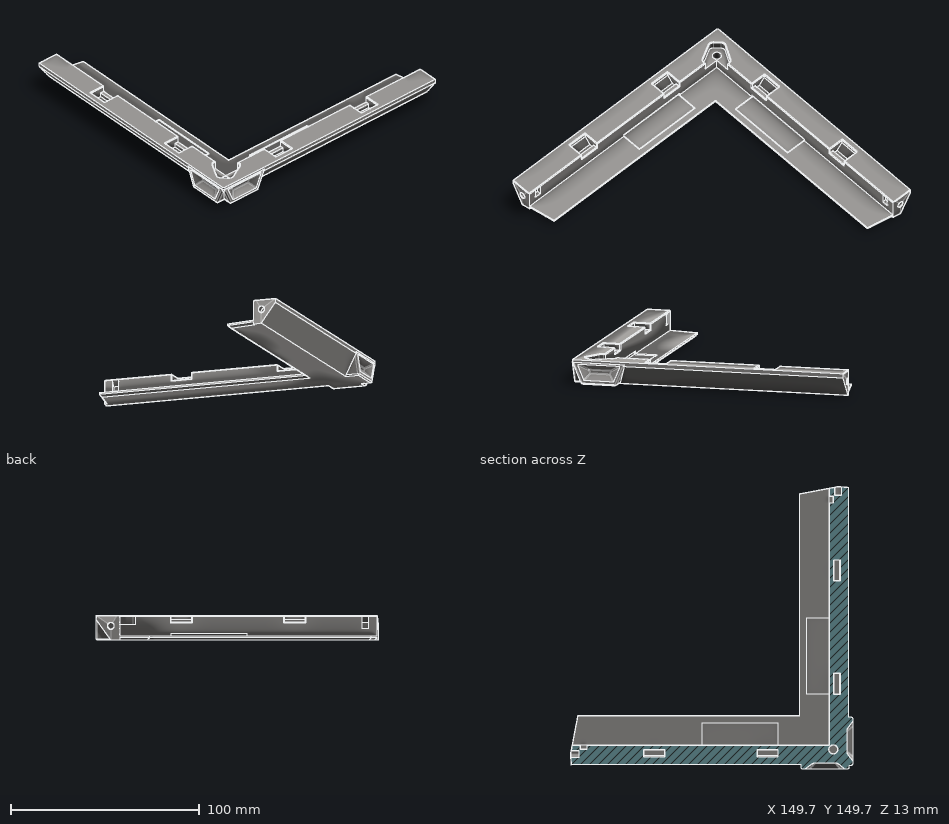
import cadquery as cq
SIZE = 149.7
HEIGHT = 13.0
PAD_PROUD = 0.1

WALL_INNER = 12.7
WALL_BAND_Z = 10.8
WALL_SLANT = 7.8
ARM_WIDTH = 28.5
PLATE_TOP = 2.2
PLATE_BEVEL = 1.3
RIM_CHAMFER = 0.5
FLARE_ANGLE = 45
CORNER_RADIUS = 0.7

END_HOLE_DIAMETER = 3.5
END_HOLE_DEPTH = 4.5
END_HOLE_Y = 8.0
END_HOLE_Z = 7.6
END_HOLE_CHAMFER = 0.3
END_EDGE_CHAMFER = 0.3
END_TOP_FALL = 0.6
END_OUTER_FALL = 0.6
END_INNER_FALL = 3.9

POCKET_STARTS = (39.0, 99.0)
POCKET_LENGTH = 11.0
POCKET_BACK = 3.5
POCKET_SHOULDER_Y = 3.7
POCKET_SHOULDER_Z = 11.0
POCKET_RAMP_FOOT = 7.2
POCKET_FLOOR_Z = 7.2
POCKET_LIP_Y = 10.2
POCKET_LIP_Z = 9.6

LABEL_START = 69.6
LABEL_LENGTH = 40.3
LABEL_EDGE = 24.5
LABEL_DEPTH = 0.6
LABEL_UNDERCUT = 0.9
LABEL_UNDERCUT_Z = 3.6

NOTCH_START = 5.2
NOTCH_WIDTH = 3.5
NOTCH_BOTTOM = 6.3
NOTCH_KNEE_Z = 9.5
NOTCH_TOP = 12.6
NOTCH_DEPTH = 2.1

PIVOT_INSET = 10.5
PIVOT_DIAMETER = 4.6
PIVOT_FLOOR_Z = 8.2
PIVOT_REACH = 21.0
PIVOT_NECK = 10.3
PIVOT_NOSE_FAR = 9.6
PIVOT_NOSE_NEAR = 4.2
PIVOT_ROUND = 2.4
PIVOT_OVERCUT = 4.5

PAD_LEAN = 0.42
PAD_TOP = 11.7
PAD_LEFT = 120.4
PAD_RIGHT = 149.5
PAD_EDGE = 0.9
PAD_BOTTOM_CHAMFER = 0.7
DISH_TOP = 10.8
DISH_BOTTOM = 2.2
DISH_LEFT = 123.1
DISH_RIGHT = 146.6
DISH_FLOOR_TOP = 7.6
DISH_FLOOR_BOTTOM = 5.5
DISH_FLOOR_LEFT = 128.8
DISH_FLOOR_RIGHT = 141.2
DISH_DEPTH = 3.3
DISH_FILLET = 0.7


def along_x(section, start, length):
    """Prism along X from a list of (Y, Z) points."""
    return cq.Workplane("YZ").workplane(offset=start).polyline(section).close().extrude(length)


def upright(outline, bottom, top):
    """Prism along Z from a list of (X, Y) points."""
    return cq.Workplane("XY").workplane(offset=bottom).polyline(outline).close().extrude(top - bottom)


def across_y(outline, start, length):
    """Prism along Y from a list of (X, Z) points."""
    return cq.Workplane("XZ", origin=(0, start, 0)).polyline(outline).close().extrude(-length)


def mirrored(body):
    """The same body on the other arm, reflected across the corner's mitre plane."""
    return body.mirror(cq.Vector(1, 1, 0), (SIZE, 0, 0))


def both_arms(body):
    return body.union(mirrored(body))


def inner_facet():
    """Sliver removed by the end facet that runs from the end hole to the inner edge of the plate."""
    return [(0, END_HOLE_Y), (0, ARM_WIDTH), (END_INNER_FALL, ARM_WIDTH)]


def wall():
    section = [
        (PAD_PROUD, HEIGHT),
        (PAD_PROUD, WALL_BAND_Z),
        (PAD_PROUD + WALL_SLANT, 0),
        (WALL_INNER, 0),
        (WALL_INNER, HEIGHT - RIM_CHAMFER),
        (WALL_INNER - RIM_CHAMFER, HEIGHT),
    ]
    body = along_x(section, 0, SIZE)
    top_facet = [(0, END_HOLE_Z), (0, HEIGHT), (END_TOP_FALL, HEIGHT)]
    outer_facet = [(0, END_HOLE_Y), (0, 0), (END_OUTER_FALL, 0)]
    body = body.cut(across_y(top_facet, 0, WALL_INNER))
    body = body.cut(upright(outer_facet, 0, HEIGHT))
    body = body.cut(upright(inner_facet(), 0, HEIGHT))
    return body.faces(">Z").edges("<X").chamfer(END_EDGE_CHAMFER)


def plate():
    outline = [
        (0, WALL_INNER),
        (0, ARM_WIDTH),
        (SIZE, ARM_WIDTH),
        (SIZE, WALL_INNER),
    ]
    body = upright(outline, 0, PLATE_TOP).cut(upright(inner_facet(), 0, PLATE_TOP))
    return body.faces("<Z").edges(">Y or <X").chamfer(PLATE_BEVEL)


def arm():
    """One arm, cut off along the mitre so that its mirror image completes the corner."""
    mitre = [(SIZE, 0), (SIZE, SIZE), (0, SIZE)]
    return wall().union(plate()).cut(upright(mitre, 0, HEIGHT))


def flare(cutter, face, outward):
    """Chamfering cutter round the mouth that the given cutter opens on a flat face of the wall."""
    mouth = cutter.faces(face)
    plane = cq.Plane(origin=mouth.val().Center(), normal=outward)
    outline = cq.Workplane(plane).newObject(mouth.wires().vals()).toPending()
    body = outline.extrude(RIM_CHAMFER, taper=-FLARE_ANGLE)
    return body.translate(outward.multiply(-RIM_CHAMFER))


def clip_pocket(start):
    section = [
        (WALL_INNER, HEIGHT),
        (POCKET_BACK, HEIGHT),
        (POCKET_SHOULDER_Y, POCKET_SHOULDER_Z),
        (POCKET_RAMP_FOOT, POCKET_FLOOR_Z),
        (POCKET_LIP_Y, POCKET_FLOOR_Z),
        (POCKET_LIP_Y, POCKET_LIP_Z),
        (WALL_INNER, POCKET_LIP_Z),
    ]
    body = along_x(section, start, POCKET_LENGTH)
    top_flare = flare(body, ">Z", cq.Vector(0, 0, 1))
    inner_flare = flare(body, ">Y", cq.Vector(0, 1, 0))
    return body.union(top_flare).union(inner_flare)


def label_recess():
    floor = PLATE_TOP - LABEL_DEPTH
    section = [
        (LABEL_EDGE, floor),
        (WALL_INNER - LABEL_UNDERCUT, floor),
        (WALL_INNER, LABEL_UNDERCUT_Z),
        (LABEL_EDGE, LABEL_UNDERCUT_Z),
    ]
    return along_x(section, LABEL_START, LABEL_LENGTH)


def finger_notch():
    back = WALL_INNER - NOTCH_DEPTH
    section = [
        (WALL_INNER, NOTCH_TOP),
        (back, NOTCH_KNEE_Z),
        (back, NOTCH_BOTTOM),
        (WALL_INNER, NOTCH_BOTTOM),
    ]
    return along_x(section, NOTCH_START, NOTCH_WIDTH)


def end_hole():
    radius = END_HOLE_DIAMETER / 2
    mouth = cq.Workplane("YZ").center(END_HOLE_Y, END_HOLE_Z)
    rim = mouth.circle(radius + END_HOLE_CHAMFER).workplane(offset=END_HOLE_CHAMFER).circle(radius).loft()
    return mouth.circle(radius).extrude(END_HOLE_DEPTH).union(rim)


def pivot_recess():
    outline = [
        (SIZE - WALL_INNER - PIVOT_OVERCUT, PIVOT_REACH),
        (SIZE - PIVOT_NECK, PIVOT_REACH),
        (SIZE - PIVOT_NOSE_NEAR, PIVOT_NOSE_FAR),
        (SIZE - PIVOT_NOSE_FAR, PIVOT_NOSE_NEAR),
        (SIZE - PIVOT_REACH, PIVOT_NECK),
        (SIZE - PIVOT_REACH, WALL_INNER + PIVOT_OVERCUT),
    ]
    body = upright(outline, PIVOT_FLOOR_Z, HEIGHT).edges("|Z").fillet(PIVOT_ROUND)
    return body.union(flare(body, ">Z", cq.Vector(0, 0, 1)))


def pivot_hole():
    hole = cq.Workplane("XY", origin=(SIZE - PIVOT_INSET, PIVOT_INSET, PLATE_TOP))
    return hole.circle(PIVOT_DIAMETER / 2).extrude(PIVOT_FLOOR_Z - PLATE_TOP)


def trapezoid(left, right, top, bottom):
    """(X, Z) outline whose ends lean towards each other going down."""
    inset = PAD_LEAN * (top - bottom)
    return [(left, top), (right, top), (right - inset, bottom), (left + inset, bottom)]


def pad():
    body = across_y(trapezoid(PAD_LEFT, PAD_RIGHT, PAD_TOP, 0), 0, PAD_PROUD + WALL_SLANT)
    body = body.faces("<Z").edges("<X or >X or <Y").chamfer(PAD_BOTTOM_CHAMFER)
    return body.faces("<Y").edges("<X or >X").fillet(PAD_EDGE)


def pad_dish():
    mouth = trapezoid(DISH_LEFT, DISH_RIGHT, DISH_TOP, DISH_BOTTOM)
    floor = trapezoid(DISH_FLOOR_LEFT, DISH_FLOOR_RIGHT, DISH_FLOOR_TOP, DISH_FLOOR_BOTTOM)
    sketch = cq.Workplane("XZ").polyline(mouth).close()
    body = sketch.workplane(offset=-DISH_DEPTH).polyline(floor).close().loft(ruled=True)
    return body.edges("not <Y").fillet(DISH_FILLET)


result = both_arms(arm()).clean()
outer_corner = cq.selectors.DirectionMinMaxSelector(cq.Vector(1, -1, 0))
result = result.edges("|Z").edges(outer_corner).fillet(CORNER_RADIUS)
for start in POCKET_STARTS:
    result = result.cut(both_arms(clip_pocket(start)))
for cutter in (label_recess(), finger_notch(), end_hole()):
    result = result.cut(both_arms(cutter))
result = result.union(both_arms(pad()))
result = result.cut(pivot_recess()).cut(pivot_hole())
result = result.cut(both_arms(pad_dish()))